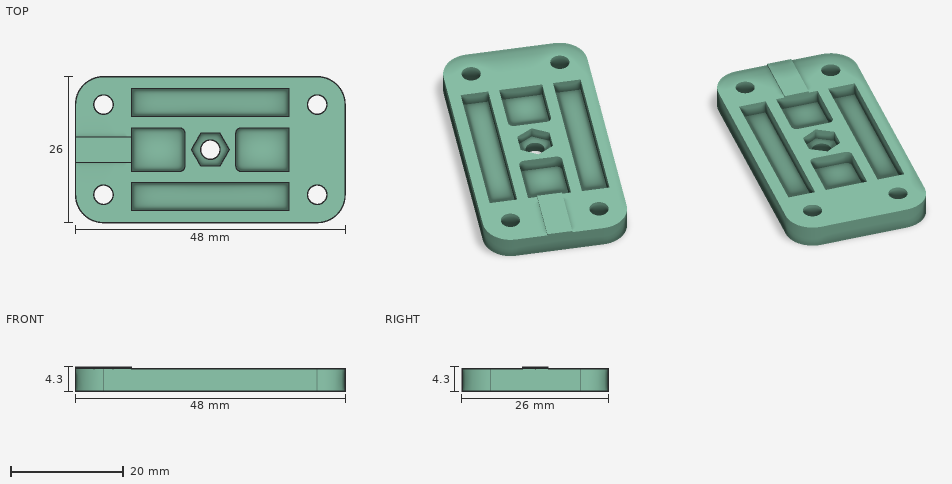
import cadquery as cq

length = 48.0
width = 26.0
total_height = 4.3
strip_height = 0.3
plate_thickness = total_height - strip_height
corner_radius = 5.0

hole_diameter = 3.4
hole_spacing_x = 38.0
hole_spacing_y = 16.05

nut_across_corners = 6.75
nut_depth = 2.0

pocket_half_length = 14.0
side_pocket_inner_y = 5.85
side_pocket_outer_y = 10.85
side_pocket_depth = 2.5
center_pocket_inner_x = 4.5
center_pocket_width = 7.8
center_pocket_depth = 2.5
center_pocket_radius = 1.0

strip_width = 4.5


def top_block(size_x, size_y, depth, center_x, center_y):
    """Rectangular cutter reaching down from the plate's top face."""
    return (
        cq.Workplane("XY", origin=(center_x, center_y, plate_thickness - depth))
        .rect(size_x, size_y)
        .extrude(depth)
    )


def side_pocket(side):
    """Long pocket on the +Y (side = 1) or -Y (side = -1) half."""
    center_y = side * (side_pocket_inner_y + side_pocket_outer_y) / 2
    pocket_width = side_pocket_outer_y - side_pocket_inner_y
    return top_block(2 * pocket_half_length, pocket_width, side_pocket_depth, 0, center_y)


def center_pocket(side):
    """Pocket on the +X or -X side of the nut, rounded on the corners facing it."""
    center_x = side * (center_pocket_inner_x + pocket_half_length) / 2
    pocket_length = pocket_half_length - center_pocket_inner_x
    block = top_block(pocket_length, center_pocket_width, center_pocket_depth, center_x, 0)
    inner_face = "<X" if side > 0 else ">X"
    return block.faces(inner_face).edges("|Z").fillet(center_pocket_radius)


plate = cq.Workplane("XY").rect(length, width).extrude(plate_thickness)
plate = plate.edges("|Z").fillet(corner_radius)

strip_length = length / 2 - pocket_half_length
strip = (
    cq.Workplane("XY")
    .center(-length / 2 + strip_length / 2, 0)
    .rect(strip_length, strip_width)
    .extrude(total_height)
)
result = plate.union(strip)

for side in (-1, 1):
    result = result.cut(side_pocket(side))
    result = result.cut(center_pocket(side))

nut_recess = (
    cq.Workplane("XY", origin=(0, 0, plate_thickness - nut_depth))
    .polygon(6, nut_across_corners)
    .extrude(nut_depth)
)
result = result.cut(nut_recess)

holes = (
    cq.Workplane("XY")
    .rect(hole_spacing_x, hole_spacing_y, forConstruction=True)
    .vertices()
    .circle(hole_diameter / 2)
    .extrude(plate_thickness)
)
center_hole = cq.Workplane("XY").circle(hole_diameter / 2).extrude(plate_thickness)
result = result.cut(holes).cut(center_hole)